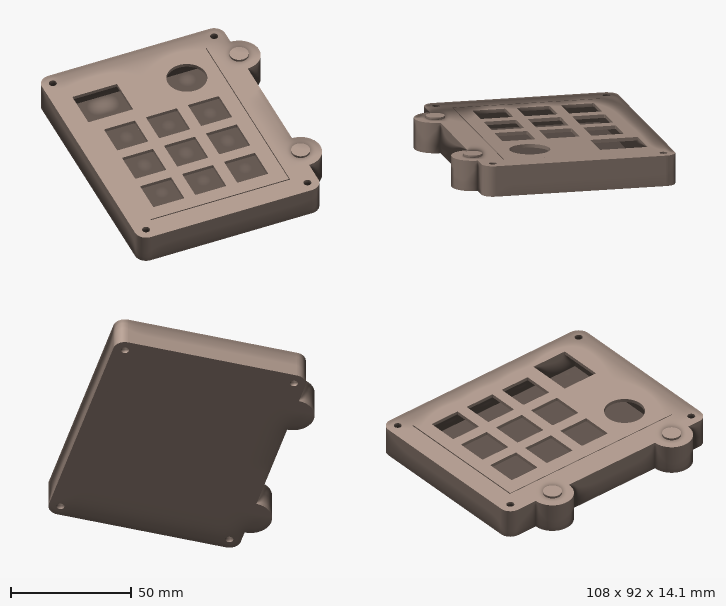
import cadquery as cq

LENGTH = 108.0
BODY_WIDTH = 83.0
BODY_HEIGHT = 13.1
CORNER_RADIUS = 5.0

SCREW_HOLE_DIAMETER = 3.3

LUG_DIAMETER = 17.9
LUG_X_POSITIONS = (-34.2, 30.3)
LUG_Y = BODY_WIDTH / 2

CAVITY_LENGTH = 88.0
CAVITY_WIDTH = 63.2
CAVITY_X = 0.4
CAVITY_Y = -0.9
CAVITY_DEPTH = 10.0

PLATE_LENGTH = 88.3
PLATE_WIDTH = 63.2
PLATE_THICKNESS = 1.5
PLATE_X = -0.2
PLATE_Y = -1.2
PLATE_BOTTOM = BODY_HEIGHT - PLATE_THICKNESS

KEYS_PER_SIDE = 3
KEY_SIZE = 14.0
KEY_PITCH = 19.0
KEY_CORNER_RADIUS = 0.4
KEY_GRID_X = 11.6
KEY_GRID_Y = -2.3

KNOB_DIAMETER = 17.1
KNOB_X = -30.0
KNOB_Y = 16.0

NOTCH_LENGTH = 17.0
NOTCH_X = -29.6
NOTCH_REAR_Y = -12.2

PAD_DIAMETER = 8.0
PAD_HEIGHT = 1.0


def make_plate():
    """Key plate with its key openings, knob opening and front notch."""
    plate = cq.Workplane("XY", origin=(PLATE_X, PLATE_Y, PLATE_BOTTOM)).box(
        PLATE_LENGTH, PLATE_WIDTH, PLATE_THICKNESS, centered=(True, True, False)
    )

    keys = (
        cq.Workplane("XY", origin=(KEY_GRID_X, KEY_GRID_Y, PLATE_BOTTOM))
        .rarray(KEY_PITCH, KEY_PITCH, KEYS_PER_SIDE, KEYS_PER_SIDE)
        .rect(KEY_SIZE, KEY_SIZE)
        .extrude(PLATE_THICKNESS)
        .edges("|Z")
        .fillet(KEY_CORNER_RADIUS)
    )

    knob = (
        cq.Workplane("XY", origin=(KNOB_X, KNOB_Y, PLATE_BOTTOM))
        .circle(KNOB_DIAMETER / 2)
        .extrude(PLATE_THICKNESS)
    )

    notch_front_y = PLATE_Y - PLATE_WIDTH / 2
    notch_width = NOTCH_REAR_Y - notch_front_y
    notch = cq.Workplane("XY", origin=(NOTCH_X, notch_front_y, PLATE_BOTTOM)).box(
        NOTCH_LENGTH, notch_width, PLATE_THICKNESS, centered=(True, False, False)
    )

    return plate.cut(keys).cut(knob).cut(notch)


def make_housing(plate):
    """Box with rear lugs, corner screw holes, the cavity and the seat of the plate."""
    body = (
        cq.Workplane("XY")
        .box(LENGTH, BODY_WIDTH, BODY_HEIGHT, centered=(True, True, False))
        .edges("|Z")
        .fillet(CORNER_RADIUS)
    )

    lugs = (
        cq.Workplane("XY")
        .pushPoints([(x, LUG_Y) for x in LUG_X_POSITIONS])
        .circle(LUG_DIAMETER / 2)
        .extrude(BODY_HEIGHT)
    )

    screw_holes = (
        cq.Workplane("XY")
        .rect(LENGTH - 2 * CORNER_RADIUS, BODY_WIDTH - 2 * CORNER_RADIUS, forConstruction=True)
        .vertices()
        .circle(SCREW_HOLE_DIAMETER / 2)
        .extrude(BODY_HEIGHT)
    )

    cavity = cq.Workplane("XY", origin=(CAVITY_X, CAVITY_Y, BODY_HEIGHT - CAVITY_DEPTH)).box(
        CAVITY_LENGTH, CAVITY_WIDTH, CAVITY_DEPTH, centered=(True, True, False)
    )

    return body.union(lugs).cut(screw_holes).cut(cavity).cut(plate)


def make_pad(x):
    """Flat disc resting on top of the lug at the given X position."""
    return (
        cq.Workplane("XY", origin=(x, LUG_Y, BODY_HEIGHT))
        .circle(PAD_DIAMETER / 2)
        .extrude(PAD_HEIGHT)
    )


plate = make_plate()
housing = make_housing(plate)
pads = [make_pad(x) for x in LUG_X_POSITIONS]

result = cq.Compound.makeCompound(
    [housing.solids().val(), plate.solids().val(), *[pad.val() for pad in pads]]
)